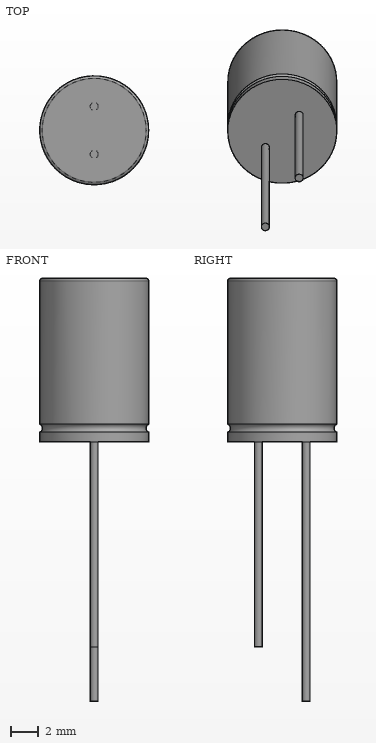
import cadquery as cq

can_diameter = 8.0
can_height = 12.0
top_edge_radius = 0.2

groove_bottom = 0.7
groove_height = 0.6
groove_depth = 0.2

lead_diameter = 0.6
lead_pitch = 3.5
total_height = 31.0
long_lead_length = total_height - can_height
short_lead_length = 15.0


def make_can():
    """Revolve the half profile of the can, with its groove and rounded top edge."""
    radius = can_diameter / 2
    groove_top = groove_bottom + groove_height
    groove_middle = groove_bottom + groove_height / 2
    profile = (
        cq.Workplane("XZ")
        .lineTo(radius, 0)
        .lineTo(radius, groove_bottom)
        .threePointArc((radius - groove_depth, groove_middle), (radius, groove_top))
        .lineTo(radius, can_height)
        .lineTo(0, can_height)
        .close()
    )
    can = profile.revolve(360, (0, 0, 0), (0, 1, 0))
    return can.faces(">Z").edges().fillet(top_edge_radius)


def make_lead(y, length):
    """Make a straight round lead from the can's base down to its free end."""
    return cq.Workplane("XY").center(0, y).circle(lead_diameter / 2).extrude(-length)


can = make_can()

leads = []
for y, length in [(lead_pitch / 2, long_lead_length), (-lead_pitch / 2, short_lead_length)]:
    leads.append(make_lead(y, length).val())

result = cq.Compound.makeCompound([can.val(), *leads])